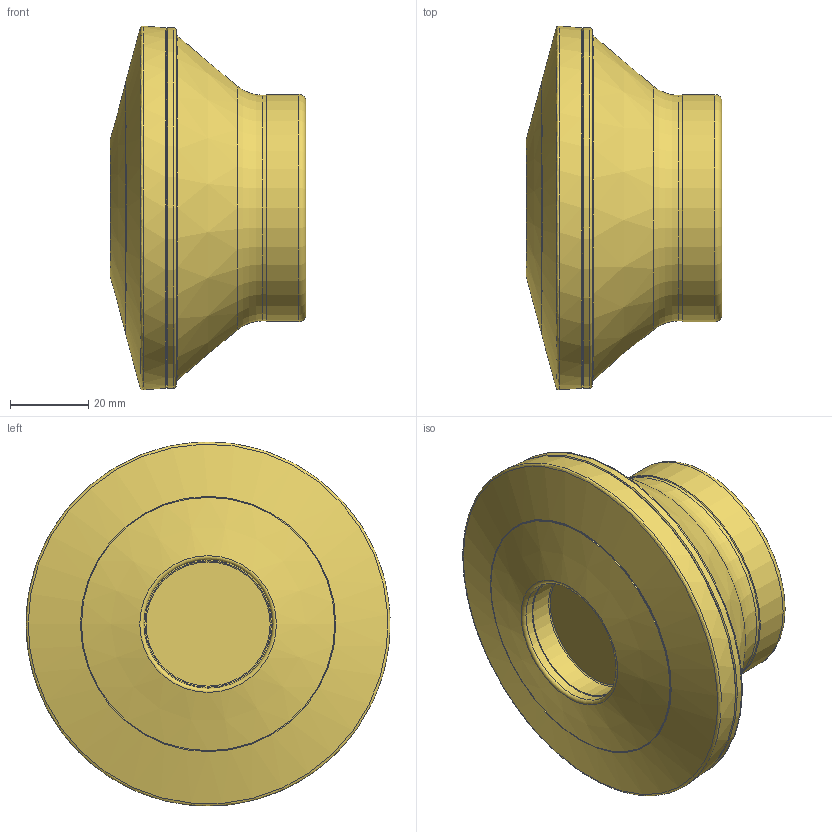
import cadquery as cq
import math


total_length = 49.97
rim_corner_radius = 46.55

face_angle = math.radians(15)
ring_radius = 32.35
ring_gap = 0.25
ring_edge = 0.2

ring_bore_radius = 16.45
mouth_fillet = 0.8
ring_bore_length = 3.0
body_bore_radius = 16.15
bore_depth = 9.0
floor_fillet = 0.3

rim_taper = math.radians(5)
rim_fillet = 0.75
groove_start = 14.1
groove_end = 14.65
groove_depth = 0.25
bead_radius = 46.05
bead_end = 16.85
bead_fillet = 0.6

waist_angle = math.radians(40)
waist_root_fillet = 1.2
neck_radius = 57.6 / 2
neck_fillet = 10.0
neck_start = 38.9

tail_radius = 58.0 / 2
tail_start = 39.8
tail_fillet = 1.75

mouth_center_radius = ring_bore_radius + mouth_fillet
cone_start_x = mouth_fillet * (1 - math.cos(face_angle))
cone_start_radius = mouth_center_radius + mouth_fillet * math.sin(face_angle)
recess_radius = ring_radius + ring_gap


def cone_x(radius):
    """X of the conical front at a given radius."""
    return cone_start_x + (radius - cone_start_radius) * math.tan(face_angle)


seat_x = cone_x(ring_radius) + ring_edge
seat_slope = (seat_x - ring_bore_length) / (ring_radius - ring_bore_radius)


def seat_at(radius):
    """Point of the shallow conical seat between ring and body at a given radius."""
    return (seat_x + (radius - ring_radius) * seat_slope, radius)


def revolve(profile):
    """Turn a closed profile (X, radius) about the X axis."""
    return profile.close().revolve(360, (0, 0, 0), (1, 0, 0))


def circle_edges(x, radius):
    """Selector for the full circle of a given radius about the X axis at x."""
    tolerance = 0.01
    reach = radius + tolerance
    return cq.selectors.BoxSelector(
        (x - tolerance, -reach, -reach), (x + tolerance, reach, reach), boundingbox=True
    )


def make_ring():
    mouth_mid_turn = (math.pi / 2 + face_angle) / 2
    mouth_mid = (
        mouth_fillet * (1 - math.sin(mouth_mid_turn)),
        mouth_center_radius - mouth_fillet * math.cos(mouth_mid_turn),
    )
    return revolve(
        cq.Workplane("XY")
        .moveTo(mouth_fillet, ring_bore_radius)
        .threePointArc(mouth_mid, (cone_start_x, cone_start_radius))
        .lineTo(cone_x(ring_radius), ring_radius)
        .lineTo(*seat_at(ring_radius))
        .lineTo(*seat_at(ring_bore_radius))
    )


def make_body():
    rim_x = cone_x(rim_corner_radius)
    groove_radius = rim_corner_radius - (groove_start - rim_x) * math.tan(rim_taper)
    neck_arc_x = neck_start - neck_fillet * math.sin(waist_angle)
    neck_arc_radius = neck_radius + neck_fillet * (1 - math.cos(waist_angle))
    neck_arc_mid = (
        neck_start - neck_fillet * math.sin(waist_angle / 2),
        neck_radius + neck_fillet * (1 - math.cos(waist_angle / 2)),
    )
    waist_root_radius = neck_arc_radius + (neck_arc_x - bead_end) * math.tan(waist_angle)
    tail_step = tail_radius - neck_radius

    body = revolve(
        cq.Workplane("XY")
        .moveTo(*seat_at(body_bore_radius))
        .lineTo(*seat_at(recess_radius))
        .lineTo(cone_x(recess_radius), recess_radius)
        .lineTo(rim_x, rim_corner_radius)
        .lineTo(groove_start, groove_radius)
        .lineTo((groove_start + groove_end) / 2, groove_radius - groove_depth)
        .lineTo(groove_end, bead_radius)
        .lineTo(bead_end, bead_radius)
        .lineTo(bead_end, waist_root_radius)
        .lineTo(neck_arc_x, neck_arc_radius)
        .threePointArc(neck_arc_mid, (neck_start, neck_radius))
        .lineTo(tail_start, neck_radius)
        .lineTo(tail_start + tail_step, tail_radius)
        .lineTo(total_length, tail_radius)
        .lineTo(total_length, 0)
        .lineTo(bore_depth, 0)
        .lineTo(bore_depth, body_bore_radius)
    )
    body = body.edges(circle_edges(rim_x, rim_corner_radius)).fillet(rim_fillet)
    body = body.edges(circle_edges(bead_end, waist_root_radius)).fillet(waist_root_fillet)
    body = body.edges(circle_edges(bead_end, bead_radius)).fillet(bead_fillet)
    body = body.edges(circle_edges(bore_depth, body_bore_radius)).fillet(floor_fillet)
    return body.edges(circle_edges(total_length, tail_radius)).fillet(tail_fillet)


ring = make_ring()
body = make_body()
result = cq.Compound.makeCompound([ring.val(), body.val()])